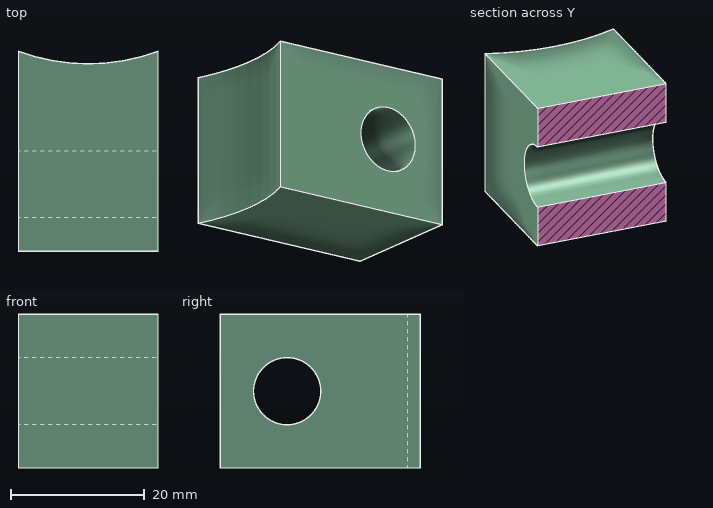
import cadquery as cq
import math

width = 20.9
height = 23.0
center_length = 28.0
saddle_radius = 30.0
hole_diameter = 10.0
hole_from_flat_end = 10.0

half_width = width / 2
saddle_depth = saddle_radius - math.sqrt(saddle_radius**2 - half_width**2)
side_length = center_length + saddle_depth


def saddle_block():
    """Rectangular block whose +Y end is hollowed to a cylindrical saddle."""
    return (
        cq.Workplane("XY")
        .moveTo(-half_width, 0)
        .lineTo(half_width, 0)
        .lineTo(half_width, side_length)
        .threePointArc((0, center_length), (-half_width, side_length))
        .close()
        .extrude(height)
    )


def cross_hole():
    """Cylinder running through the full width, at mid height."""
    return (
        cq.Workplane("YZ", origin=(-half_width, 0, 0))
        .center(hole_from_flat_end, height / 2)
        .circle(hole_diameter / 2)
        .extrude(width)
    )


result = saddle_block().cut(cross_hole())